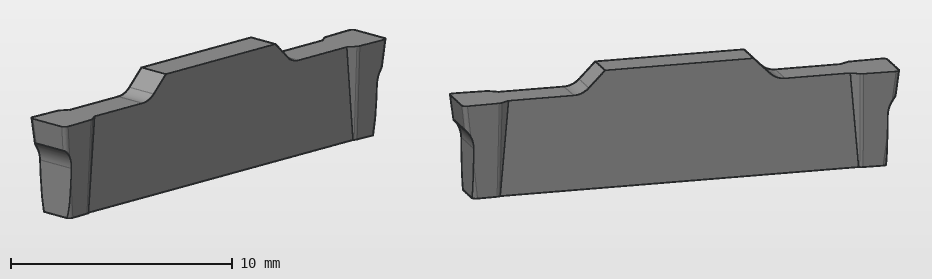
import cadquery as cq
import math

overall_length = 20.6
overall_height = 5.51
cutting_width = 2.24
body_width = 1.56
rake_height = 4.45

land_length = 7.0
land_foot_radius = 1.0
land_slope = math.radians(45)

corner_radius = 0.2
side_relief = math.radians(2)
side_draft = math.radians(3.1)
front_clearance = math.radians(7)
shoulder_top_y = 8.50
shoulder_base_y = 8.54
shoulder_slope = math.radians(32)
shoulder_radius = 0.3
head_root_half_width = 0.5

relief_y = overall_length / 2 - rake_height * math.tan(front_clearance)
relief_start_z = 2.4
relief_radius = 1.2
relief_angle = math.radians(47)


def make_body():
    """Plain bar with the raised land; stops inside the heads."""
    half_land = land_length / 2
    body_end = (shoulder_top_y + relief_y) / 2
    arc_run = land_foot_radius * math.sin(land_slope)
    arc_rise = land_foot_radius * (1 - math.cos(land_slope))
    slope_drop = overall_height - rake_height - arc_rise
    slope_end = half_land + slope_drop / math.tan(land_slope)
    foot_y = slope_end + arc_run
    slope_end_z = rake_height + arc_rise
    mid_y = foot_y - land_foot_radius * math.sin(land_slope / 2)
    mid_z = rake_height + land_foot_radius * (1 - math.cos(land_slope / 2))
    return (
        cq.Workplane("YZ")
        .moveTo(-body_end, 0)
        .lineTo(body_end, 0)
        .lineTo(body_end, rake_height)
        .lineTo(foot_y, rake_height)
        .threePointArc((mid_y, mid_z), (slope_end, slope_end_z))
        .lineTo(half_land, overall_height)
        .lineTo(-half_land, overall_height)
        .lineTo(-slope_end, slope_end_z)
        .threePointArc((-mid_y, mid_z), (-foot_y, rake_height))
        .lineTo(-body_end, rake_height)
        .close()
        .extrude(body_width / 2, both=True)
    )


def head_outline(depth, shoulder_y):
    """Plan outline of the +Y head, with sharp corners, at a depth below the cutting edge."""
    rounding_loss = corner_radius * (math.tan(side_relief) + 1 / math.cos(side_relief) - 1)
    front_x = cutting_width / 2 + rounding_loss - depth * math.tan(side_draft)
    front_y = overall_length / 2 - depth * math.tan(front_clearance)
    shoulder_x = front_x - (front_y - shoulder_y) * math.tan(side_relief)
    root_y = shoulder_y - (shoulder_x - head_root_half_width) / math.tan(shoulder_slope)
    right_side = [
        (head_root_half_width, root_y),
        (shoulder_x, shoulder_y),
        (front_x, front_y),
    ]
    left_side = [(-x, y) for x, y in reversed(right_side)]
    return right_side + left_side


def make_relief():
    """Cutter for the end face below the cutting edge, with a concave run-out."""
    run_out_y = relief_y + relief_radius * (1 - math.cos(relief_angle))
    run_out_z = relief_start_z + relief_radius * math.sin(relief_angle)
    mid_y = relief_y + relief_radius * (1 - math.cos(relief_angle / 2))
    mid_z = relief_start_z + relief_radius * math.sin(relief_angle / 2)
    outer_y = overall_length / 2
    return (
        cq.Workplane("YZ")
        .moveTo(relief_y, 0)
        .lineTo(relief_y, relief_start_z)
        .threePointArc((mid_y, mid_z), (run_out_y, run_out_z))
        .lineTo(outer_y, run_out_z)
        .lineTo(outer_y, 0)
        .close()
        .extrude(cutting_width, both=True)
    )


def round_upright_edges(head, nearest_y, farthest_y, radius):
    """Fillet the edges that run from base to cutting edge between two Y positions."""
    half_width = cutting_width / 2 + corner_radius
    zone = cq.selectors.BoxSelector(
        (-half_width, nearest_y, rake_height / 4),
        (half_width, farthest_y, rake_height * 3 / 4),
    )
    return head.edges(zone).edges("not(|X)").fillet(radius)


def make_head():
    """Drafted +Y cutting head with rounded corners and shoulders."""
    head = (
        cq.Workplane("XY")
        .polyline(head_outline(rake_height, shoulder_base_y))
        .close()
        .workplane(offset=rake_height)
        .polyline(head_outline(0, shoulder_top_y))
        .close()
        .loft(ruled=True, combine=True)
    )
    head_end = overall_length / 2
    head = round_upright_edges(head, relief_y - corner_radius, head_end, corner_radius)
    shoulder_start = shoulder_top_y - shoulder_radius
    shoulder_end = shoulder_base_y + shoulder_radius
    head = round_upright_edges(head, shoulder_start, shoulder_end, shoulder_radius)
    return head.cut(make_relief())


head = make_head()
result = make_body().union(head).union(head.mirror("XZ"))